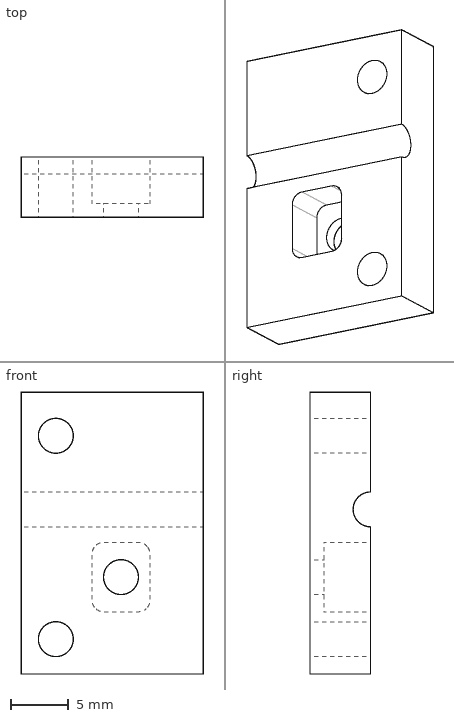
import cadquery as cq

width = 15.75
thickness = 5.25
height = 24.38

hole_diameter = 3.0
edge_hole_x = 3.0
lower_hole_z = 3.02
upper_hole_z = 20.6
inner_hole_x = 8.63
inner_hole_z = 8.39
groove_z = 14.25

pocket_width = 5.0
pocket_height = 6.0
pocket_floor_y = 1.22
pocket_corner_radius = 1.0


def cylinder_along_y(x, z):
    """Cutter running through the full thickness at (x, z)."""
    outline = cq.Workplane("XZ").center(x, z).circle(hole_diameter / 2)
    return outline.extrude(-thickness)


result = cq.Workplane("XY").box(width, thickness, height, centered=False)

hole_centers = [
    (edge_hole_x, lower_hole_z),
    (edge_hole_x, upper_hole_z),
    (inner_hole_x, inner_hole_z),
]
for hole_x, hole_z in hole_centers:
    result = result.cut(cylinder_along_y(hole_x, hole_z))

groove = cq.Workplane("YZ").center(thickness, groove_z).circle(hole_diameter / 2).extrude(width)
result = result.cut(groove)

pocket = (
    cq.Workplane("XZ", origin=(inner_hole_x, pocket_floor_y, inner_hole_z))
    .rect(pocket_width, pocket_height)
    .extrude(pocket_floor_y - thickness)
    .edges("|Y")
    .fillet(pocket_corner_radius)
)
result = result.cut(pocket)